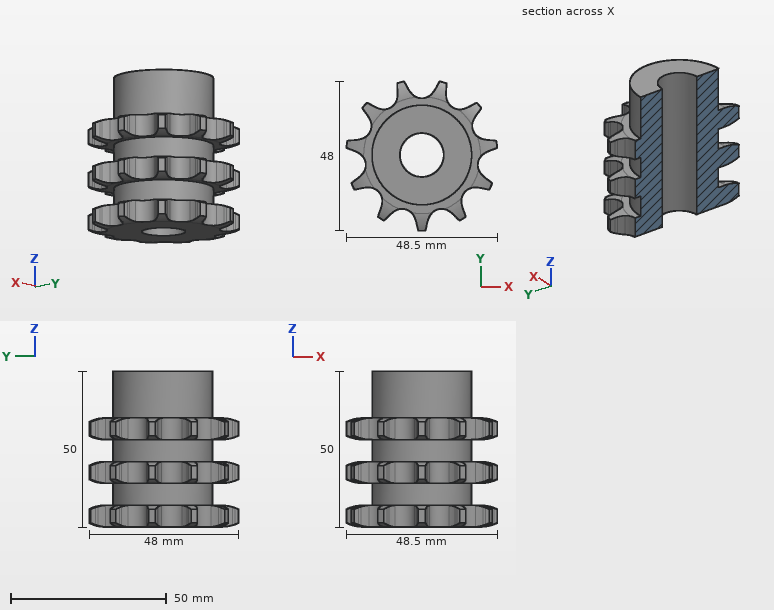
import cadquery as cq
import math


chain_pitch = 12.7
roller_diameter = 8.51
tooth_count = 11
tip_diameter = 48.7
row_count = 3
row_spacing = 14.0
tooth_width = 7.0
crown_drop = 1.3
crown_radius = chain_pitch

hub_diameter = 32.0
bore_diameter = 14.0
overall_height = 50.0

tip_radius = tip_diameter / 2
pitch_step = 360 / tooth_count
pitch_radius = chain_pitch / (2 * math.sin(math.pi / tooth_count))
flat_radius = tip_radius - math.sqrt(crown_radius**2 - (crown_radius - crown_drop)**2)

seat_radius = 0.5025 * roller_diameter + 0.0381
seat_angle = 35 + 60 / tooth_count
working_angle = 18 - 56 / tooth_count
topping_angle = 17 - 64 / tooth_count
working_centre_offset = 0.8 * roller_diameter
working_radius = seat_radius + working_centre_offset
topping_centre_offset = 1.4 * roller_diameter
straight_length = (
    topping_centre_offset * math.sin(math.radians(topping_angle))
    - working_centre_offset * math.sin(math.radians(working_angle))
)
topping_radius = (
    working_centre_offset * math.cos(math.radians(working_angle))
    + topping_centre_offset * math.cos(math.radians(topping_angle))
    - working_radius
)
topping_sweep = 20.0
cutter_overrun = 5.0


def polar_from(origin, radius, degrees):
    angle = math.radians(degrees)
    return (origin[0] + radius * math.cos(angle), origin[1] + radius * math.sin(angle))


def mirrored(point):
    return (-point[0], point[1])


def gullet_cutter():
    """Tooth gap: seat arc, then a working arc, straight and topping arc on each side."""
    roller_centre = (0, 0)
    seat_bottom = (0, -seat_radius)
    seat_end = polar_from(roller_centre, seat_radius, -seat_angle)

    working_centre = polar_from(roller_centre, working_centre_offset, 180 - seat_angle)
    normal_angle = working_angle - seat_angle
    working_mid = polar_from(working_centre, working_radius, -seat_angle + working_angle / 2)
    working_end = polar_from(working_centre, working_radius, normal_angle)

    straight_end = polar_from(working_end, straight_length, normal_angle + 90)
    topping_centre = polar_from(straight_end, topping_radius, normal_angle)
    topping_start_angle = normal_angle + 180
    topping_mid = polar_from(topping_centre, topping_radius, topping_start_angle - topping_sweep / 2)
    topping_end = polar_from(topping_centre, topping_radius, topping_start_angle - topping_sweep)
    peak = (0, tip_radius - pitch_radius + cutter_overrun)

    outline = (
        cq.Workplane("XY")
        .moveTo(*mirrored(seat_end))
        .threePointArc(seat_bottom, seat_end)
        .threePointArc(working_mid, working_end)
        .lineTo(*straight_end)
        .threePointArc(topping_mid, topping_end)
        .lineTo(*peak)
        .lineTo(*mirrored(topping_end))
        .threePointArc(mirrored(topping_mid), mirrored(straight_end))
        .lineTo(*mirrored(working_end))
        .threePointArc(mirrored(working_mid), mirrored(seat_end))
        .close()
    )
    return outline.extrude(tooth_width).translate((0, pitch_radius, 0))


def crowned_disc():
    """Plain disc whose outer sides are rounded down towards the tip."""
    half_width = tooth_width / 2
    tip_half_width = half_width - crown_drop
    mid_radius = (flat_radius + tip_radius) / 2
    mid_drop = crown_radius - math.sqrt(crown_radius**2 - (mid_radius - flat_radius)**2)
    profile = (
        cq.Workplane("XZ")
        .moveTo(0, -half_width)
        .lineTo(flat_radius, -half_width)
        .threePointArc((mid_radius, mid_drop - half_width), (tip_radius, -tip_half_width))
        .lineTo(tip_radius, tip_half_width)
        .threePointArc((mid_radius, half_width - mid_drop), (flat_radius, half_width))
        .lineTo(0, half_width)
        .close()
    )
    return profile.revolve(360, (0, 0, 0), (0, 1, 0)).translate((0, 0, half_width))


def tooth_row():
    """One toothed disc with a gap centred on +Y, resting on Z = 0."""
    row = crowned_disc()
    cutter = gullet_cutter()
    for gap in range(tooth_count):
        row = row.cut(cutter.rotate((0, 0, 0), (0, 0, 1), gap * pitch_step))
    return row


def sprocket():
    body = cq.Workplane("XY").circle(hub_diameter / 2).extrude(overall_height)
    row = tooth_row()
    for index in range(row_count):
        body = body.union(row.translate((0, 0, index * row_spacing)))
    bore = cq.Workplane("XY").circle(bore_diameter / 2).extrude(overall_height)
    return body.cut(bore)


result = sprocket()